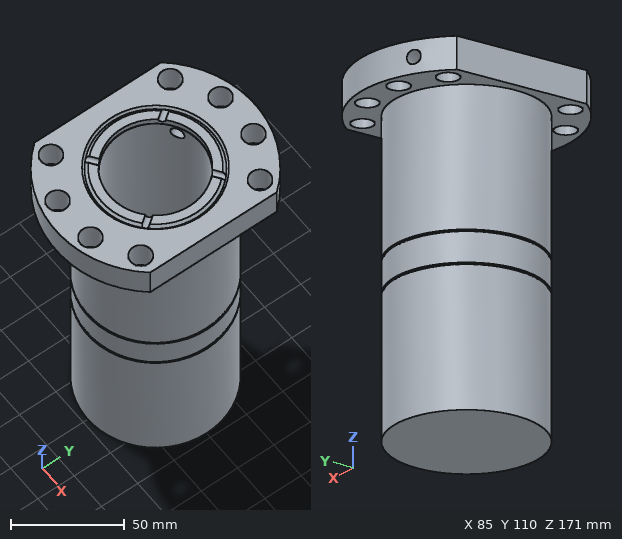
import cadquery as cq
import math

total_length = 171.0
flange_diameter = 110.0
flange_width = 85.0
flange_thickness = 16.0
body_diameter = 75.0

spacer_width = 15.7
spacer_middle = 77.6
groove_width = 0.9
groove_depth = 0.7

bore_diameter = 50.0
wiper_bore_diameter = 50.3
wiper_height = 3.5
floor_thickness = (body_diameter - bore_diameter) / 2

ring_outer_diameter = 64.8
ring_root_diameter = 62.6
ring_inner_diameter = 59.5
ring_depth = 1.2

slot_diameter = 3.2
slot_count = 4
slot_direction = 36.0
slot_offset = 4.6

bolt_hole_diameter = 11.0
bolt_circle_radius = 46.5
bolt_angles = (45, 75, 105, 135)
port_diameter = 6.8
port_angle = 120.0

body_length = total_length - flange_thickness
body_radius = body_diameter / 2


def make_blank():
    """Round body with a flange cut flat on both X sides."""
    body = cq.Workplane("XY").circle(body_radius).extrude(body_length)
    flange = (
        cq.Workplane("XY", origin=(0, 0, body_length))
        .circle(flange_diameter / 2)
        .extrude(flange_thickness)
    )
    flats = cq.Workplane("XY").box(flange_width, flange_diameter, 2 * total_length)
    return body.union(flange.intersect(flats))


def make_spacer_grooves():
    """Two shallow grooves, one on each side of the spacer ring."""
    grooves = cq.Workplane("XY")
    for side in (-1, 1):
        bottom = spacer_middle + side * spacer_width / 2 - groove_width / 2
        groove = (
            cq.Workplane("XY", origin=(0, 0, bottom))
            .circle(body_radius + groove_depth)
            .circle(body_radius - groove_depth)
            .extrude(groove_width)
        )
        grooves = grooves.add(groove)
    return grooves.combine()


def make_bore():
    """Blind bore, slightly wider through the wiper at the top."""
    bore = (
        cq.Workplane("XY", origin=(0, 0, floor_thickness))
        .circle(bore_diameter / 2)
        .extrude(total_length - floor_thickness)
    )
    wiper_bore = (
        cq.Workplane("XY", origin=(0, 0, total_length - wiper_height))
        .circle(wiper_bore_diameter / 2)
        .extrude(wiper_height)
    )
    return bore.union(wiper_bore)


def make_ring_groove():
    """V-shaped groove revolved about Z."""
    return (
        cq.Workplane("XZ")
        .moveTo(ring_inner_diameter / 2, total_length)
        .lineTo(ring_root_diameter / 2, total_length - ring_depth)
        .lineTo(ring_outer_diameter / 2, total_length)
        .close()
        .revolve(360, (0, 0, 0), (0, 1, 0))
    )


def make_wiper_slots():
    """Skewed slots that run from the bore out to the ring groove."""
    slot = (
        cq.Workplane("YZ")
        .center(slot_offset, total_length)
        .circle(slot_diameter / 2)
        .extrude(ring_root_diameter / 2)
    )
    slots = cq.Workplane("XY")
    for index in range(slot_count):
        angle = slot_direction + index * 360 / slot_count
        slots = slots.add(slot.rotate((0, 0, 0), (0, 0, 1), angle))
    ring_root = (
        cq.Workplane("XY", origin=(0, 0, total_length - slot_diameter))
        .circle(ring_root_diameter / 2)
        .extrude(2 * slot_diameter)
    )
    return slots.combine().intersect(ring_root)


def make_bolt_holes():
    """Through holes in two groups, one on each end of the flange."""
    points = []
    for angle in bolt_angles:
        x = bolt_circle_radius * math.cos(math.radians(angle))
        y = bolt_circle_radius * math.sin(math.radians(angle))
        points += [(x, y), (x, -y)]
    return (
        cq.Workplane("XY", origin=(0, 0, body_length))
        .pushPoints(points)
        .circle(bolt_hole_diameter / 2)
        .extrude(flange_thickness)
    )


def make_port():
    """Radial lubrication port from the flange rim into the bore."""
    return (
        cq.Workplane("YZ", origin=(0, 0, total_length - flange_thickness / 2))
        .circle(port_diameter / 2)
        .extrude(flange_diameter)
        .rotate((0, 0, 0), (0, 0, 1), port_angle)
    )


result = (
    make_blank()
    .cut(make_spacer_grooves())
    .cut(make_bore())
    .cut(make_wiper_slots())
    .cut(make_ring_groove())
    .cut(make_bolt_holes())
    .cut(make_port())
)